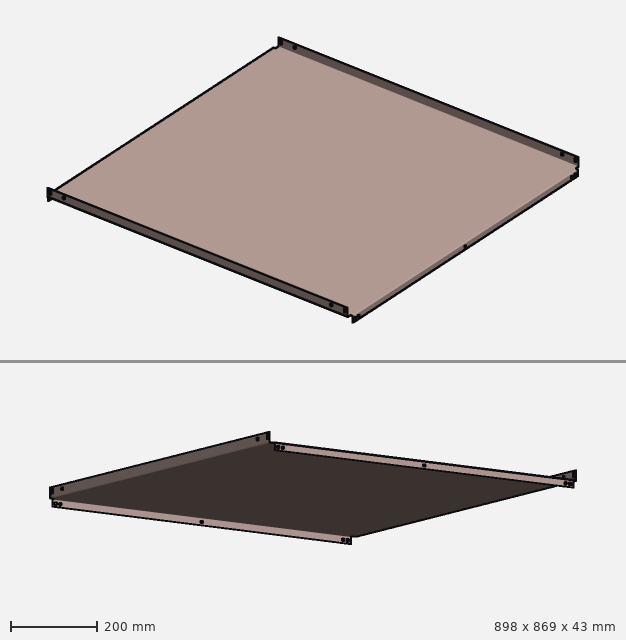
import cadquery as cq

length_x = 898.0
length_y = 869.0
height = 43.0

sheet = 2.0
bend_inner = 1.0
bend_outer = bend_inner + sheet

up_height = 26.0
down_height = height - up_height + sheet
up_flange_length = 884.0
down_flange_length = 846.0

up_opening_level = 16.0
slot_width = 5.0
slot_height = 13.0
slot_span = 867.0
up_hole_diameter = 7.0
up_hole_span = 787.0

down_hole_depth = 9.0
down_end_hole_diameter = 7.0
down_end_hole_span = 827.0
down_small_hole_diameter = 6.0
down_small_hole_span = 801.0


def rounded_channel_block(width, depth, length, radius):
    """Block along Y standing on Z=0, with its two lower long edges rounded."""
    return (
        cq.Workplane("XY")
        .box(width, length, depth, centered=(True, True, False))
        .edges("|Y and <Z")
        .fillet(radius)
    )


def bent_strip(width, flange_height, length):
    """Sheet channel along Y: flat base with its underside on Z=0, both long sides bent up."""
    outer = rounded_channel_block(width, flange_height, length, bend_outer)
    inner = rounded_channel_block(width - 2 * sheet, flange_height, length, bend_inner)
    return outer.cut(inner.translate((0, 0, sheet)))


def mirrored(span):
    """Two places, a span apart and centred on zero."""
    return [-span / 2, span / 2]


def opening_layout(places, level):
    """Points on the XZ plane at the given X places, all at one Z level."""
    return cq.Workplane("XZ").pushPoints([(place, level) for place in places])


def hole_pins(places, level, diameter, reach):
    """Round cutters along Y that pass through both flanges of a pair."""
    return opening_layout(places, level).circle(diameter / 2).extrude(reach, both=True)


def slot_pins(places, level, reach):
    """Upright slot cutters along Y that pass through both flanges of a pair."""
    layout = opening_layout(places, level)
    return layout.slot2D(slot_height, slot_width, 90).extrude(reach, both=True)


def upright_flanges():
    """Panel with the two Y edges bent up, slotted near the ends and drilled further in."""
    strip = bent_strip(length_y, up_height, up_flange_length).rotate((0, 0, 0), (0, 0, 1), 90)
    slots = slot_pins(mirrored(slot_span), up_opening_level, length_y)
    holes = hole_pins(mirrored(up_hole_span), up_opening_level, up_hole_diameter, length_y)
    return strip.cut(slots).cut(holes)


def hanging_flanges():
    """Panel with the two X edges bent down, drilled near the ends and at the middle."""
    strip = (
        bent_strip(length_x, down_height, down_flange_length)
        .rotate((0, 0, 0), (1, 0, 0), 180)
        .translate((0, 0, sheet))
    )
    small_hole_places = mirrored(down_small_hole_span) + [0]
    end_holes = hole_pins(
        mirrored(down_end_hole_span), -down_hole_depth, down_end_hole_diameter, length_x
    )
    small_holes = hole_pins(
        small_hole_places, -down_hole_depth, down_small_hole_diameter, length_x
    )
    holes = end_holes.union(small_holes).rotate((0, 0, 0), (0, 0, 1), 90)
    return strip.cut(holes)


result = upright_flanges().union(hanging_flanges())